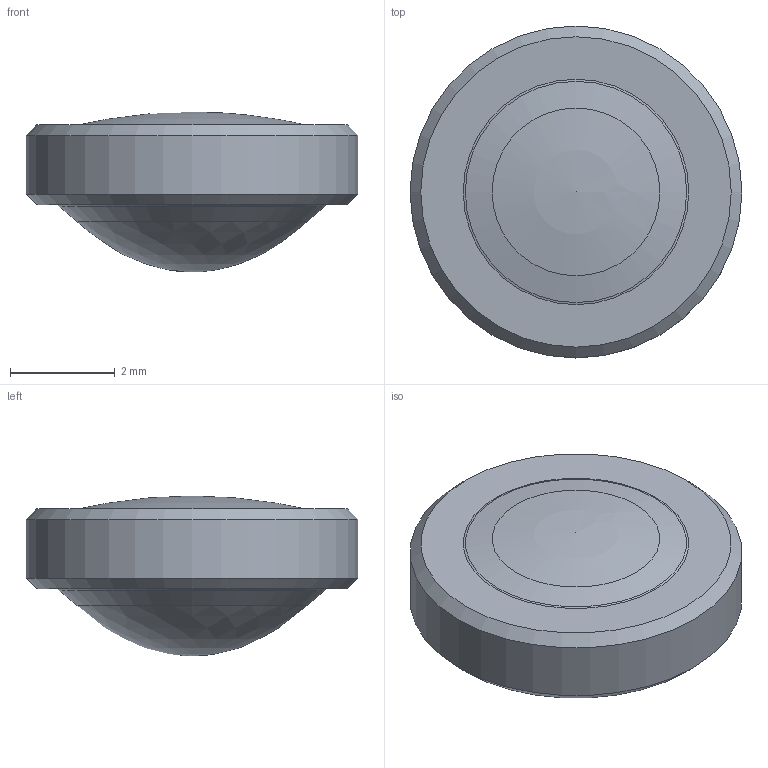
import cadquery as cq
import math

flange_radius = 6.33 / 2
overall_height = 3.05
flange_thickness = 1.525
rim_chamfer = 0.205

top_cap_height = 0.245
top_sphere_radius = 9.6
top_zone_radius = 1.6
top_cap_radius = 2.11
top_foot_radius = 2.15

bottom_cap_height = overall_height - flange_thickness - top_cap_height
bottom_vertex_radius = 2.67
bottom_conic_constant = -0.64
bottom_cap_radius = 2.2
bottom_cone_radius = 2.53
bottom_foot_radius = 2.58
bottom_foot_height = 0.035
bottom_curve_steps = 8

top_apex_z = flange_thickness + top_cap_height
bottom_apex_z = -bottom_cap_height


def sphere_z(radius):
    """Height of the upper spherical face at a distance from the axis."""
    sag = top_sphere_radius - math.sqrt(top_sphere_radius**2 - radius**2)
    return top_apex_z - sag


def conic_z(radius):
    """Height of the lower conic face at a distance from the axis."""
    curvature = 1 / bottom_vertex_radius
    root = math.sqrt(1 - (1 + bottom_conic_constant) * (curvature * radius) ** 2)
    return bottom_apex_z + curvature * radius**2 / (1 + root)


def sphere_arc(profile, start_radius, end_radius):
    """Continue the profile along the upper sphere between two radii."""
    middle = (start_radius + end_radius) / 2
    return profile.threePointArc((middle, sphere_z(middle)), (end_radius, sphere_z(end_radius)))


def lower_face(profile):
    """Continue the profile from the lower apex out to the flange underside."""
    radii = [bottom_cap_radius * i / bottom_curve_steps for i in range(1, bottom_curve_steps + 1)]
    profile = profile.spline([(r, conic_z(r)) for r in radii], includeCurrent=True)
    profile = profile.lineTo(bottom_cone_radius, -bottom_foot_height)
    return profile.lineTo(bottom_foot_radius, 0)


def flange_side(profile):
    """Continue the profile around the chamfered flange to the upper lens foot."""
    profile = profile.lineTo(flange_radius - rim_chamfer, 0)
    profile = profile.lineTo(flange_radius, rim_chamfer)
    profile = profile.lineTo(flange_radius, flange_thickness - rim_chamfer)
    profile = profile.lineTo(flange_radius - rim_chamfer, flange_thickness)
    return profile.lineTo(top_foot_radius, flange_thickness)


def upper_face(profile):
    """Continue the profile from the upper lens foot in to the upper apex."""
    profile = profile.lineTo(top_cap_radius, sphere_z(top_cap_radius))
    profile = sphere_arc(profile, top_cap_radius, top_zone_radius)
    return sphere_arc(profile, top_zone_radius, 0)


section = cq.Workplane("XZ").moveTo(0, bottom_apex_z)
section = upper_face(flange_side(lower_face(section))).close()

result = section.revolve(360, (0, 0), (0, 1), clean=False)